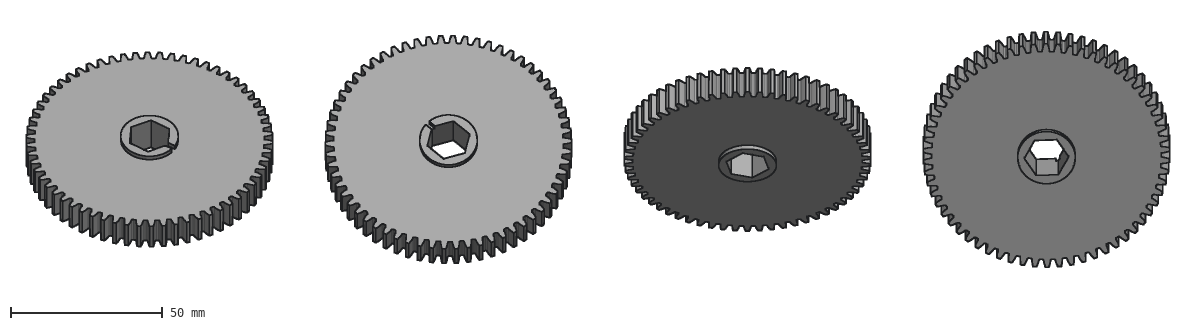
import cadquery as cq
import math

tooth_count = 62
tip_diameter = 81.3
pressure_angle = math.radians(14.5)
tooth_depth = 2.85
root_fillet = 0.5
backlash = 0.05
gear_thickness = 9.5

overall_height = 12.7
collar_diameter = 19.0
hex_across_flats = 12.7
slot_width = 1.6

module = tip_diameter / (tooth_count + 2)
pitch_radius = module * tooth_count / 2
base_radius = pitch_radius * math.cos(pressure_angle)
tip_radius = tip_diameter / 2
root_radius = tip_radius - tooth_depth
tooth_spacing = 2 * math.pi / tooth_count
pitch_half_angle = tooth_spacing / 4 - backlash / (2 * pitch_radius)
flank_points = 5

half_thickness = gear_thickness / 2
half_height = overall_height / 2
hex_across_corners = hex_across_flats / math.cos(math.pi / 6)


def polar(radius, angle):
    return (radius * math.cos(angle), radius * math.sin(angle))


def involute(radius):
    """Angle swept by the involute between the base circle and a radius."""
    roll = math.acos(base_radius / radius)
    return math.tan(roll) - roll


def half_tooth_angle(radius):
    """Half of the angle that a tooth fills at a radius."""
    return pitch_half_angle + involute(pitch_radius) - involute(radius)


fillet_centre_radius = root_radius + root_fillet
fillet_centre_angle = half_tooth_angle(fillet_centre_radius) + root_fillet / base_radius
flank_roll_length = math.sqrt(fillet_centre_radius**2 - base_radius**2) - root_fillet
flank_start_radius = math.hypot(base_radius, flank_roll_length)


def fillet_points(tooth_angle, side):
    """Root end, middle and flank end of the fillet on one side (-1 or 1) of a tooth."""
    centre_angle = tooth_angle + side * fillet_centre_angle
    flank_angle = tooth_angle + side * half_tooth_angle(flank_start_radius)
    centre = cq.Vector(*polar(fillet_centre_radius, centre_angle))
    root_end = cq.Vector(*polar(root_radius, centre_angle))
    flank_end = cq.Vector(*polar(flank_start_radius, flank_angle))
    toward_middle = (root_end + flank_end) / 2 - centre
    middle = centre + toward_middle.normalized() * root_fillet
    return [(point.x, point.y) for point in (root_end, middle, flank_end)]


def flank(tooth_angle, side):
    """Involute points from the fillet out to the tip."""
    step = (tip_radius - flank_start_radius) / (flank_points - 1)
    radii = [flank_start_radius + i * step for i in range(flank_points)]
    return [polar(radius, tooth_angle + side * half_tooth_angle(radius)) for radius in radii]


def gear_body():
    """Toothed disc with a tooth centred on +Y and a gap centred on +X."""
    tooth_angles = [math.pi / 2 + i * tooth_spacing for i in range(tooth_count)]
    outline = cq.Workplane("XY").workplane(offset=-half_thickness)
    outline = outline.moveTo(*polar(root_radius, tooth_angles[0] - fillet_centre_angle))
    for angle in tooth_angles:
        _, rise_middle, rise_flank = fillet_points(angle, -1)
        fall_root, fall_middle, _ = fillet_points(angle, 1)
        rise = flank(angle, -1)
        fall = flank(angle, 1)[::-1]
        next_angle = angle + tooth_spacing
        gap_middle = polar(root_radius, angle + tooth_spacing / 2)
        next_root = polar(root_radius, next_angle - fillet_centre_angle)
        outline = (
            outline
            .threePointArc(rise_middle, rise_flank)
            .spline(rise[1:], includeCurrent=True)
            .threePointArc(polar(tip_radius, angle), fall[0])
            .spline(fall[1:], includeCurrent=True)
            .threePointArc(fall_middle, fall_root)
            .threePointArc(gap_middle, next_root)
        )
    return outline.close().extrude(gear_thickness)


def collars():
    """Round collar standing out of both faces of the gear."""
    return cq.Workplane("XY").circle(collar_diameter / 2).extrude(half_height, both=True)


def hex_bore():
    """Through bore with two of its corners on the X axis."""
    return cq.Workplane("XY").polygon(6, hex_across_corners).extrude(half_height, both=True)


def collar_slot():
    """Slot through the +X side of the upper collar, down to the gear face."""
    return (
        cq.Workplane("XY")
        .box(collar_diameter, slot_width, half_height - half_thickness, centered=(False, True, False))
        .translate((0, 0, half_thickness))
    )


result = gear_body().union(collars()).cut(hex_bore()).cut(collar_slot())